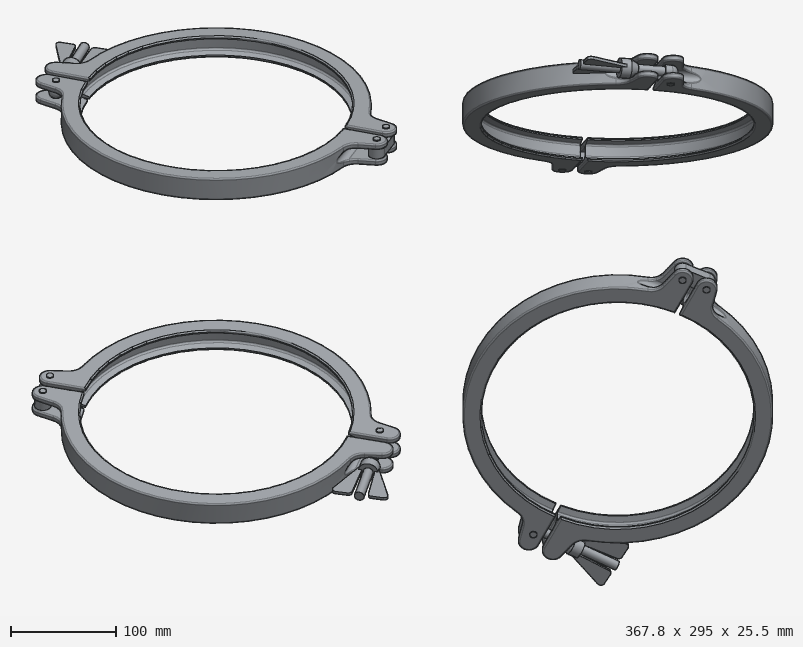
import cadquery as cq
import math

OUTER_RADIUS = 295.0 / 2
INNER_RADIUS = 129.7
HEIGHT = 23.0
HALF_GAP = 2.5
EDGE_FILLET = 1.5

GROOVE_RADIUS = 137.5
GROOVE_MOUTH = 17.5
GROOVE_FLOOR = 13.2
GROOVE_ROOT_FILLET = 2.2

LUG_TIP_X = 178.0
LUG_WIDTH = 20.2
LUG_RADIUS = LUG_WIDTH / 2
LUG_SLOPE = 13
LUG_BLEND = 14.7
LUG_CENTER_X = LUG_TIP_X - LUG_RADIUS
LUG_CENTER_Y = HALF_GAP + LUG_RADIUS
LUG_ROOT_X = 134.0

SLOT_HEIGHT = 11.5
SLOT_END_X = 140.0

PIN_RADIUS = 7.0 / 2
PIN_LENGTH = 25.5
LINK_RADIUS = 15.8 / 2
LINK_HEIGHT = 10.3

PIVOT_X = -158.0
PIVOT_Y = -LUG_CENTER_Y
BOLT_TILT = 3.1
ROD_RADIUS = 4.8
ROD_END = 90.7
EYE_RADIUS = 7.0
EYE_SHOULDER = 6.5

COLLAR_RADIUS = 9.5
COLLAR_TOP = 51.0
COLLAR_BOTTOM = 41.0
NOSE_BOTTOM = 33.5
NOSE_RADIUS = SLOT_HEIGHT / 2
WING_THICKNESS = 3.0
WING_TOP = 90.0
WING_FOOT = 45.5
WING_ROOT_TOP = 51.0
WING_INNER_FOOT = 6.2
WING_INNER_TOP = 8.0
WING_OUTER_FOOT = 9.2
WING_OUTER_TOP = 29.0
WING_FILLET = 3.5


def upright_cylinder(x, y, radius, length):
    """Cylinder along Z, centred on Z = 0."""
    return cq.Workplane("XY", origin=(x, y, -length / 2)).circle(radius).extrude(length)


def lug_block(side):
    """Solid lug of the +Y half; side is +1 for the +X end and -1 for the -X end."""
    slope = math.radians(LUG_SLOPE)
    flank_x = LUG_CENTER_X + LUG_RADIUS * math.sin(slope)
    flank_y = LUG_CENTER_Y + LUG_RADIUS * math.cos(slope)
    root_y = flank_y + (flank_x - LUG_ROOT_X) * math.tan(slope)
    return (
        cq.Workplane("XY")
        .moveTo(side * LUG_ROOT_X, HALF_GAP)
        .lineTo(side * LUG_CENTER_X, HALF_GAP)
        .threePointArc((side * LUG_TIP_X, LUG_CENTER_Y), (side * flank_x, flank_y))
        .lineTo(side * LUG_ROOT_X, root_y)
        .close()
        .extrude(HEIGHT / 2, both=True)
    )


def ring_groove():
    """Trapezoidal groove, widest at the bore."""
    return (
        cq.Workplane("XZ")
        .polyline([
            (0, -GROOVE_MOUTH / 2),
            (INNER_RADIUS, -GROOVE_MOUTH / 2),
            (GROOVE_RADIUS, -GROOVE_FLOOR / 2),
            (GROOVE_RADIUS, GROOVE_FLOOR / 2),
            (INNER_RADIUS, GROOVE_MOUTH / 2),
            (0, GROOVE_MOUTH / 2),
        ])
        .close()
        .revolve(360, (0, 0, 0), (0, 1, 0))
        .edges(cq.selectors.RadiusNthSelector(-1))
        .fillet(GROOVE_ROOT_FILLET)
    )


def lug_slot(side):
    """Slot along Y with a full round end, open toward the lug tip."""
    round_center = side * (SLOT_END_X + SLOT_HEIGHT / 2)
    open_end = side * (LUG_TIP_X + LUG_RADIUS)
    half = SLOT_HEIGHT / 2
    return (
        cq.Workplane("XZ")
        .moveTo(open_end, half)
        .lineTo(round_center, half)
        .threePointArc((side * SLOT_END_X, 0), (round_center, -half))
        .lineTo(open_end, -half)
        .close()
        .extrude(OUTER_RADIUS, both=True)
    )


def slot_mouth(side):
    """Selects the edges where a slot breaks through the outer surface of the +Y half."""
    margin = 0.05
    reach_z = SLOT_HEIGHT / 2 + margin
    return cq.selectors.BoxSelector(
        (side * (SLOT_END_X - margin), HALF_GAP + margin, -reach_z),
        (side * OUTER_RADIUS * 2, OUTER_RADIUS, reach_z),
        boundingbox=True,
    )


def clamp_half():
    """Half ring on the +Y side with a forked lug at each end."""
    half = (
        cq.Workplane("XY")
        .circle(OUTER_RADIUS)
        .circle(INNER_RADIUS)
        .extrude(HEIGHT / 2, both=True)
    )
    keep = cq.Workplane("XY").box(
        2 * LUG_TIP_X, OUTER_RADIUS, 2 * HEIGHT, centered=(True, False, True)
    )
    half = half.intersect(keep.translate((0, HALF_GAP, 0)))
    for side in (-1, 1):
        half = half.union(lug_block(side))
    bend = cq.selectors.BoxSelector(
        (-OUTER_RADIUS, HALF_GAP + LUG_RADIUS, -HEIGHT),
        (OUTER_RADIUS, OUTER_RADIUS / 3, HEIGHT),
    )
    half = half.edges("|Z").edges(bend).fillet(LUG_BLEND)
    half = half.faces("|Z").edges().fillet(EDGE_FILLET)
    half = half.cut(ring_groove())
    for side in (-1, 1):
        half = half.cut(lug_slot(side))
        half = half.edges(slot_mouth(side)).fillet(EDGE_FILLET)
    return half


def hinge_link():
    """Straight link with round ends and a pin through each end."""
    link = cq.Workplane("XY").box(2 * LINK_RADIUS, 2 * LUG_CENTER_Y, LINK_HEIGHT)
    link = link.translate((LUG_CENTER_X, 0, 0))
    for y in (-LUG_CENTER_Y, LUG_CENTER_Y):
        link = link.union(upright_cylinder(LUG_CENTER_X, y, LINK_RADIUS, LINK_HEIGHT))
        link = link.union(upright_cylinder(LUG_CENTER_X, y, PIN_RADIUS, PIN_LENGTH))
    return link


def place_on_pivot(shape):
    """Moves a shape built along +Y from the origin to the leaning bolt axis."""
    return shape.rotate((0, 0, 0), (0, 0, 1), BOLT_TILT).translate((PIVOT_X, PIVOT_Y, 0))


def nut_collar():
    """Round collar of the wing nut with its conical nose."""
    return (
        cq.Workplane("XY")
        .polyline([
            (0, NOSE_BOTTOM),
            (NOSE_RADIUS, NOSE_BOTTOM),
            (COLLAR_RADIUS, COLLAR_BOTTOM),
            (COLLAR_RADIUS, COLLAR_TOP),
            (0, COLLAR_TOP),
        ])
        .close()
        .revolve(360, (0, 0, 0), (0, 1, 0))
    )


def nut_wing(side):
    """Flat wing that widens away from the collar."""
    wing = (
        cq.Workplane("XY")
        .polyline([
            (0, WING_FOOT),
            (side * WING_OUTER_FOOT, WING_FOOT),
            (side * WING_OUTER_TOP, WING_TOP),
            (side * WING_INNER_TOP, WING_TOP),
            (side * WING_INNER_FOOT, WING_ROOT_TOP),
            (0, WING_ROOT_TOP),
        ])
        .close()
        .extrude(WING_THICKNESS / 2, both=True)
    )
    return wing.edges("|Z and >Y").fillet(WING_FILLET)


def swing_bolt():
    """Bullet-shaped eye, rod and wing nut, with the pivot pin through the eye."""
    slot_space = cq.Workplane("XY").box(4 * EYE_RADIUS, 4 * EYE_RADIUS, SLOT_HEIGHT)
    barrel = cq.Workplane("XZ").circle(EYE_RADIUS).extrude(-EYE_SHOULDER)
    eye = cq.Workplane("XY").sphere(EYE_RADIUS).union(barrel).intersect(slot_space)
    rod = cq.Workplane("XZ").circle(ROD_RADIUS).extrude(-ROD_END)
    bolt = eye.union(rod).union(nut_collar())
    for side in (-1, 1):
        bolt = bolt.union(nut_wing(side))
    bolt = bolt.union(upright_cylinder(0, 0, PIN_RADIUS, PIN_LENGTH))
    return place_on_pivot(bolt)


rear_half = clamp_half().cut(place_on_pivot(nut_collar())).union(hinge_link())

front_half = (
    clamp_half()
    .mirror("XZ")
    .cut(upright_cylinder(LUG_CENTER_X, -LUG_CENTER_Y, PIN_RADIUS, PIN_LENGTH))
    .cut(upright_cylinder(PIVOT_X, PIVOT_Y, PIN_RADIUS, PIN_LENGTH))
)

bolt_with_nut = swing_bolt()

result = cq.Compound.makeCompound([rear_half.val(), front_half.val(), bolt_with_nut.val()])